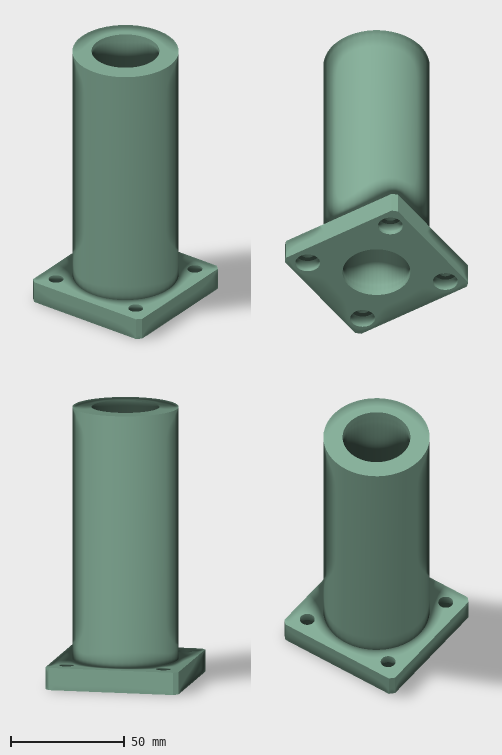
import cadquery as cq
import math

flange_width = 60.0
flange_thickness = 10.0
corner_chamfer = 2.0

overall_height = 123.0
sleeve_diameter = 47.0
bore_diameter = 30.0

mounting_hole_diameter = 6.6
counterbore_diameter = 11.0
counterbore_depth = 6.1
mounting_circle_diameter = 62.0
mounting_hole_spacing = mounting_circle_diameter / math.sqrt(2)


def make_flange():
    """Square plate with its underside on Z = 0 and chamfered vertical edges."""
    plate = cq.Workplane("XY").rect(flange_width, flange_width).extrude(flange_thickness)
    return plate.edges("|Z").chamfer(corner_chamfer)


def make_cylinder(diameter):
    """Cylinder on the Z axis running the full height of the part."""
    return cq.Workplane("XY").circle(diameter / 2).extrude(overall_height)


def make_corner_cylinders(diameter, height):
    """Four cylinders rising from the underside on the square mounting pattern."""
    return (
        cq.Workplane("XY")
        .rect(mounting_hole_spacing, mounting_hole_spacing, forConstruction=True)
        .vertices()
        .circle(diameter / 2)
        .extrude(height)
    )


body = make_flange().union(make_cylinder(sleeve_diameter))

body = body.cut(make_cylinder(bore_diameter))

body = body.cut(make_corner_cylinders(mounting_hole_diameter, flange_thickness))
result = body.cut(make_corner_cylinders(counterbore_diameter, counterbore_depth))